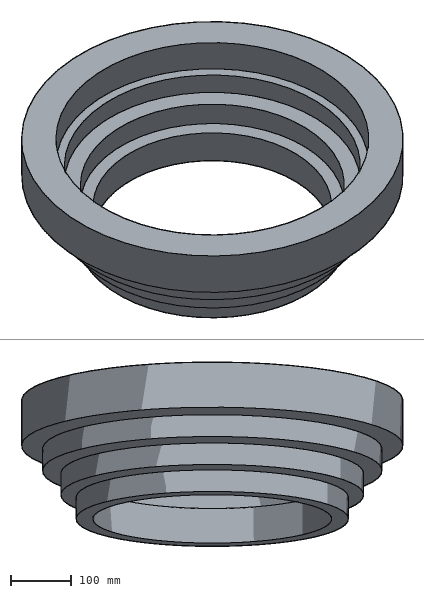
import cadquery as cq

height = 200.0
ledge_slope = 0.16

outer_walls = [(315.0, 76.0), (280.5, 118.5), (250.0, 159.5), (225.0, height)]
inner_walls = [(258.0, 55.0), (244.5, 93.0), (218.0, 138.0), (197.0, height)]


def stepped_wall(walls):
    """Profile points of a stepped wall, from the top face to the bottom face."""
    points = []
    wall_top = 0.0
    for index, (radius, wall_bottom) in enumerate(walls):
        if index > 0:
            upper_radius, ledge_depth = walls[index - 1]
            wall_top = ledge_depth + ledge_slope * (upper_radius - radius)
        points.append((radius, height - wall_top))
        points.append((radius, height - wall_bottom))
    return points


section = stepped_wall(outer_walls) + stepped_wall(inner_walls)[::-1]
full_turn = 360

result = (
    cq.Workplane("XZ")
    .polyline(section)
    .close()
    .revolve(full_turn, (0, 0, 0), (0, 1, 0))
    .translate((0, 0, -height / 2))
)